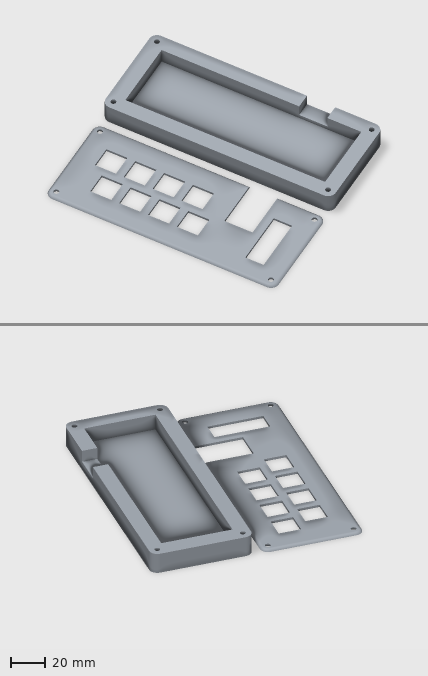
import cadquery as cq
import math

LENGTH = 152.0
WIDTH = 62.9
CORNER_RADIUS = 5.0
SCREW_DIAMETER = 3.4
OUTER_LENGTH = 152.6
OUTER_WIDTH = 131.0

HOUSING_HEIGHT = 13.0
WALL_LEFT = 10.5
WALL_RIGHT = 9.5
WALL_BACK = 9.5
WALL_FRONT = 9.5
POCKET_DEPTH = 10.0
NOTCH_LEFT = 101.5
NOTCH_WIDTH = 18.6
HOUSING_NOTCH_DEPTH = 7.5

PLATE_THICKNESS = 1.5
EDGE_RADIUS = 2.5
PLATE_NOTCH_LENGTH = 31.0
KEY_SIZE = 13.9
KEY_PITCH = 19.0
KEYS_PER_ROW = 4
KEY_ROW_STAGGER = 7.3
FIRST_KEY_X = 21.8
BACK_ROW_Y = 40.7
WINDOW_LENGTH = 34.5
WINDOW_WIDTH = 12.0
WINDOW_X = 131.7
WINDOW_Y = 30.2

PAD_HEIGHT = 0.2
PAD_LEFT = 91.7
PAD_LENGTH = 31.3
PAD_SPANS_Y = ((0.8, 7.3), (9.2, 14.8))

HOUSING_X = OUTER_LENGTH - LENGTH
HOUSING_Y = OUTER_WIDTH - WIDTH


def box(x, y, z, length, width, height):
    """Box with its lowest corner at (x, y, z)."""
    return cq.Workplane("XY").box(length, width, height, centered=False).translate((x, y, z))


def rounded_slab(height):
    """Slab with the shared outline, standing on Z = 0 with its left front corner at the origin."""
    return box(0, 0, 0, LENGTH, WIDTH, height).edges("|Z").fillet(CORNER_RADIUS)


def screw_holes(height):
    """Cylinders on the axes of the four rounded corners."""
    corners = [
        (x, y)
        for x in (CORNER_RADIUS, LENGTH - CORNER_RADIUS)
        for y in (CORNER_RADIUS, WIDTH - CORNER_RADIUS)
    ]
    return cq.Workplane("XY").pushPoints(corners).circle(SCREW_DIAMETER / 2).extrude(height)


def make_housing():
    pocket_length = LENGTH - WALL_LEFT - WALL_RIGHT
    pocket_width = WIDTH - WALL_FRONT - WALL_BACK
    pocket_floor = HOUSING_HEIGHT - POCKET_DEPTH
    pocket = box(WALL_LEFT, WALL_FRONT, pocket_floor, pocket_length, pocket_width, POCKET_DEPTH)
    notch_floor = HOUSING_HEIGHT - HOUSING_NOTCH_DEPTH
    notch = box(NOTCH_LEFT, WIDTH - WALL_BACK, notch_floor, NOTCH_WIDTH, WALL_BACK, HOUSING_NOTCH_DEPTH)
    body = rounded_slab(HOUSING_HEIGHT).cut(pocket).cut(notch).cut(screw_holes(HOUSING_HEIGHT))
    return body.translate((HOUSING_X, HOUSING_Y, 0))


def plate_blank():
    """Plate whose rim is the upper part of a rounded edge, cut off by the flat underside.

    The underside has the shared outline; the full rounded edge would bulge a little beyond it.
    """
    arc_center_drop = EDGE_RADIUS - PLATE_THICKNESS
    bulge = EDGE_RADIUS - math.sqrt(EDGE_RADIUS**2 - arc_center_drop**2)
    slab_height = 2 * EDGE_RADIUS
    slab_floor = PLATE_THICKNESS - slab_height
    slab = box(-bulge, -bulge, slab_floor, LENGTH + 2 * bulge, WIDTH + 2 * bulge, slab_height)
    slab = slab.edges("|Z").fillet(CORNER_RADIUS + bulge).faces(">Z").edges().fillet(EDGE_RADIUS)
    return slab.intersect(box(0, 0, 0, LENGTH, WIDTH, PLATE_THICKNESS))


def key_openings():
    back_row = [(FIRST_KEY_X + i * KEY_PITCH, BACK_ROW_Y) for i in range(KEYS_PER_ROW)]
    front_row = [(x + KEY_ROW_STAGGER, y - KEY_PITCH) for x, y in back_row]
    keys = cq.Workplane("XY").pushPoints(back_row + front_row)
    return keys.rect(KEY_SIZE, KEY_SIZE).extrude(PLATE_THICKNESS)


def make_cover_plate():
    notch_front = WIDTH - PLATE_NOTCH_LENGTH
    notch = box(NOTCH_LEFT, notch_front, 0, NOTCH_WIDTH, PLATE_NOTCH_LENGTH, PLATE_THICKNESS)
    window = cq.Workplane("XY").center(WINDOW_X, WINDOW_Y).rect(WINDOW_WIDTH, WINDOW_LENGTH)
    plate = plate_blank().cut(key_openings()).cut(notch).cut(window.extrude(PLATE_THICKNESS))
    for front, back in PAD_SPANS_Y:
        plate = plate.union(box(PAD_LEFT, front, -PAD_HEIGHT, PAD_LENGTH, back - front, PAD_HEIGHT))
    return plate.cut(screw_holes(PLATE_THICKNESS))


housing = make_housing()
cover_plate = make_cover_plate()

result = cq.Compound.makeCompound([housing.val(), cover_plate.val()])